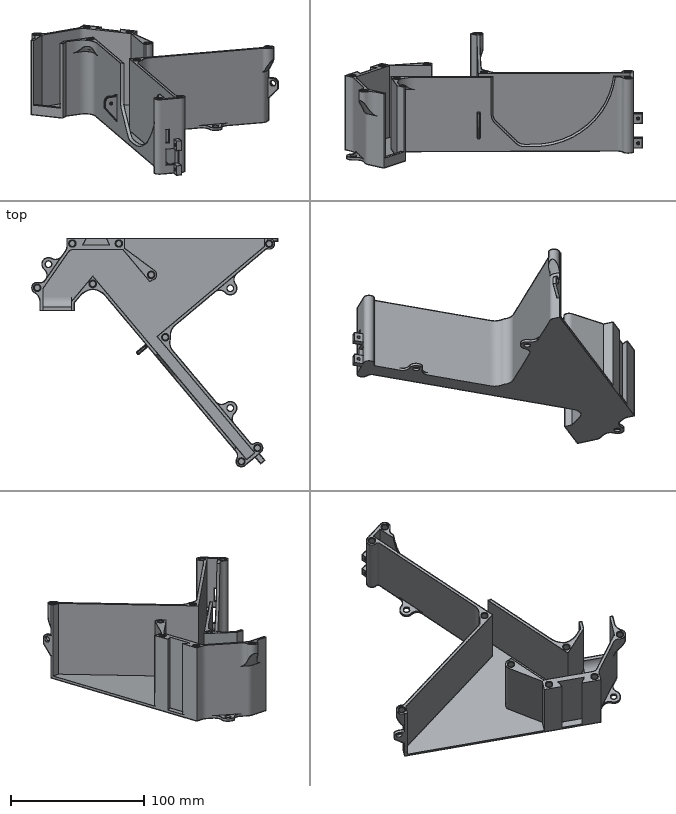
import cadquery as cq
import math

height = 58.0
wall = 2.2
floor = 2.0

slope = math.radians(50)
along = cq.Vector(math.cos(slope), -math.sin(slope))
across = cq.Vector(math.sin(slope), math.cos(slope))
inlet_slope = cq.Vector(-along.x, along.y)
down = cq.Vector(0, -1)

inlet_left = 8.3
inlet_right = 29.7
inlet_front = -52.0
back_left = 28.5
back_right = 174.5
back_wall = 8.5
channel_length = 179.5
channel_width = 8.0
arm_to_end = 113.8

apex = cq.Vector(45.7, -28.4)
channel_end = apex + along * channel_length
channel_far_end = channel_end + across * channel_width
elbow = channel_far_end - along * arm_to_end
arm_end = elbow + across * ((back_right - elbow.x) / across.x)
inlet_bend = cq.Vector(inlet_right, apex.y - (apex.x - inlet_right) * math.tan(slope))
left_corner = cq.Vector(inlet_left, -37.8)
back_corner = cq.Vector(back_left, -back_wall)
left_wall_rise = (back_corner - left_corner).normalized()

room = [
    cq.Vector(back_left, -wall), back_corner, left_corner,
    cq.Vector(inlet_left, inlet_front), cq.Vector(inlet_right, inlet_front), inlet_bend,
    apex, channel_end, channel_far_end, elbow, arm_end, cq.Vector(back_right, -wall),
]

outer_rounds = [(apex, 7.7), (back_corner, 7.0), (left_corner, 5.9), (arm_end, 4.0)]
back_corner_round = 4.0

block_right = 69.7
block_corner = cq.Vector(block_right, -7.5)
vane_root = cq.Vector(68.5, -back_wall)
vane_length = 31.4
vane_to_boss = 28.0
dovetail = [(41.0, 0), (38.2, -4.8), (58.3, -4.8), (56.0, 0)]

boss_radius = 4.0
boss_depth = 18.5
apex_boss_depth = 9.4
overhang_taper = 29
apex_overhang_taper = 24
insert_radius = 2.2
insert_depth = 7.7
insert_chamfer = 0.5
end_boss_setback = 1.5
end_boss_side = 3.9

left_boss = cq.Vector(boss_radius, -37.0)
apex_boss = cq.Vector(45.7, -34.1)
elbow_boss = cq.Vector(100.2, -74.2)
right_boss = cq.Vector(178.0, -boss_radius)
channel_boss = channel_end - along * end_boss_setback - across * end_boss_side
channel_far_boss = channel_far_end - along * end_boss_setback + across * end_boss_side
vane_boss = vane_root + along * vane_to_boss + across * boss_radius
block_bosses = [cq.Vector(30.5, -3.9), cq.Vector(65.3, -3.9)]

sill_height = 7.5
sill_edge = -51.6
ramp_start = -43.9
ramp_middle = (-48.7, 3.5)

notch_start = 76.5
notch_bottom = 5.0
notch_knee = 25.5
notch_flat_end = 107.4
notch_radius = 60.1
notch_corner = 8.0
notch_bevel = 30

ear_radius = 5.0
ear_hole = 2.4
ear_blend = 5.9
ears = [
    (cq.Vector(12.5, -19.4), left_corner, left_wall_rise),
    (cq.Vector(148.9, -37.5), elbow, across),
    (cq.Vector(148.9, -127.3), elbow, along),
]

tab_right = 184.5
tab_top = 33.4
tab_hole = (180.8, 29.7)
tab_hole_radius = 2.2
tab_corner_radius = 3.7
tab_side_bottom = 25.5
tab_foot = 17.3

clip_position = 65.9
clip_thickness = 2.4
clip_reach = 9.5
clip_top = 30.0
clip_foot_top = 31.0
clip_corner_radius = 3.9
clip_side_bottom = 21.2
clip_bottom = 10.0
clip_hole = (6.8, 24.7)
clip_hole_radius = 1.1
clip_chamfer = 0.5

lug_sides = (6.0, 10.1)
lug_reach = 9.2
lug_height = 7.4
lug_bottoms = (0, 19.2)
lug_hole_radius = 1.1
lug_hole_reach = 6.0
hinge_opening = (6.6, 19.2)
slot_width = 2.8
slot_opening = (23.8, 34.3)
end_wall_cut = (-0.2, 3.7)


def xy(point):
    return (point.x, point.y)


def prism(points, bottom, top):
    base = cq.Workplane("XY").workplane(offset=bottom)
    return base.polyline([xy(p) for p in points]).close().extrude(top - bottom)


def post(center, radius, bottom, top):
    base = cq.Workplane("XY").workplane(offset=bottom)
    return base.center(*xy(center)).circle(radius).extrude(top - bottom)


def round_upright(solid, corner, radius):
    """Round the upright edge nearest to a plan position."""
    return solid.edges("|Z").edges(cq.NearestToPointSelector((corner.x, corner.y, height / 2))).fillet(radius)


def flare(center, radius, wall_point, direction, blend, bottom, top):
    """Web from a round post to the outer face of a wall, ending in a hollow arc.

    wall_point lies on the inner face of the wall; direction points along the wall, away from the post.
    """
    inner_foot = wall_point + direction * (center - wall_point).dot(direction)
    normal = (center - inner_foot).normalized()
    foot = inner_foot + normal * wall
    distance = (center - foot).dot(normal)
    reach = math.sqrt((radius + blend) ** 2 - (distance - blend) ** 2)
    wall_touch = foot + direction * reach
    blend_center = wall_touch + normal * blend
    post_touch = center + (blend_center - center).normalized() * radius
    arc_middle = blend_center + ((wall_touch + post_touch) * 0.5 - blend_center).normalized() * blend
    sunk = normal * (wall / 2)
    return (
        cq.Workplane("XY").workplane(offset=bottom)
        .moveTo(*xy(center)).lineTo(*xy(foot - sunk)).lineTo(*xy(wall_touch - sunk)).lineTo(*xy(wall_touch))
        .threePointArc(xy(arc_middle), xy(post_touch)).close().extrude(top - bottom)
    )


def flared_post(center, radius, flares, bottom, top):
    """Round post with a flare for each (wall point, direction, blend radius)."""
    shape = post(center, radius, bottom, top)
    for wall_point, direction, blend in flares:
        shape = shape.union(flare(center, radius, wall_point, direction, blend, bottom, top))
    return shape


def make_shell():
    """Solid block: the room grown by the wall thickness."""
    outline = cq.Workplane("XY").polyline([xy(p) for p in room]).close()
    shell = outline.offset2D(wall, "intersection").extrude(height)
    for corner, radius in outer_rounds:
        shell = round_upright(shell, corner, radius)
    return shell


def hanging_boss(center, flares, depth, taper, footprint):
    """Boss at the top of the walls whose underside slopes back to them."""
    bottom = height - depth
    base = footprint.moved(cq.Location(cq.Vector(0, 0, bottom)))
    leaning_walls = cq.Solid.extrudeLinear(base, [], cq.Vector(0, 0, depth), -taper)
    return flared_post(center, boss_radius, flares, bottom, height).intersect(cq.Workplane(leaning_walls))


def add_bosses(body):
    footprint = body.faces("<Z").wires().val()
    left_flares = [(left_corner, down, 8.0), (left_corner, left_wall_rise, 5.2)]
    apex_flares = [(apex, along, 14.8), (apex, inlet_slope, 14.8)]
    right_flares = [(elbow, -across, 2.2)]
    elbow_flares = [(elbow, along, 9.2), (elbow, across, 9.2)]
    body = body.union(hanging_boss(left_boss, left_flares, boss_depth, overhang_taper, footprint))
    body = body.union(hanging_boss(apex_boss, apex_flares, apex_boss_depth, apex_overhang_taper, footprint))
    body = body.union(hanging_boss(right_boss, right_flares, boss_depth, overhang_taper, footprint))
    body = body.union(flared_post(elbow_boss, boss_radius, elbow_flares, 0, height))
    body = body.union(flared_post(channel_boss, boss_radius, [(apex, -along, 4.8)], 0, height))
    body = body.union(flared_post(channel_far_boss, boss_radius, [(elbow, -along, 2.2)], 0, height))
    end_face = along * boss_radius
    end_cap = [channel_boss, channel_boss + end_face, channel_far_boss + end_face, channel_far_boss]
    return body.union(prism(end_cap, 0, height))


def make_vane():
    """Wedge from the back block to the vane boss, its upper side tangent to the boss."""
    tip = vane_root + along * vane_length
    to_boss = vane_boss - block_corner
    touch_angle = math.atan2(to_boss.y, to_boss.x) + math.asin(boss_radius / to_boss.Length) + math.pi / 2
    touch = vane_boss + cq.Vector(math.cos(touch_angle), math.sin(touch_angle)) * boss_radius
    wedge = prism([vane_root, tip, tip + across * boss_radius, vane_boss, touch, block_corner], 0, height)
    return wedge.union(post(vane_boss, boss_radius, 0, height))


def make_cavity():
    """Inside of the room, open at the back to the right of the block."""
    cavity = prism(room, floor, height)
    back_opening = cq.Workplane("XY").box(back_right - block_right, 2 * wall, height - floor, centered=False)
    cavity = cavity.union(back_opening.translate((block_right, -2 * wall, floor)))
    block = prism([cq.Vector(), cq.Vector(block_right, 0), block_corner, vane_root, cq.Vector(0, -back_wall)],
                  0, height)
    cavity = round_upright(cavity.cut(block), back_corner, back_corner_round)
    return cavity.cut(make_vane())


def open_inlet(body):
    """Clear the front wall above the sill and slope the floor up to it."""
    width = inlet_right - inlet_left
    mouth = cq.Workplane("XY").box(width, 2 * wall, height, centered=False)
    body = body.cut(mouth.translate((inlet_left, inlet_front - 1.5 * wall, sill_height)))
    sill_middle = inlet_front - wall / 2
    ramp = (
        cq.Workplane("YZ").workplane(offset=inlet_left)
        .moveTo(ramp_start, floor).threePointArc(ramp_middle, (sill_edge, sill_height))
        .lineTo(sill_middle, sill_height).lineTo(sill_middle, floor / 2).lineTo(ramp_start, floor / 2)
        .close().extrude(width)
    )
    return body.union(ramp)


def make_notch():
    """Cutter with a straight side, a 45 degree side and a long arc rising to the rim."""
    rim = height + 1.8
    drop = notch_knee - notch_bottom
    corner = notch_start + drop
    sweep = math.acos(1 - (rim - notch_bottom) / notch_radius)

    def arc_point(angle):
        return (notch_flat_end + notch_radius * math.sin(angle),
                notch_bottom + notch_radius * (1 - math.cos(angle)))

    profile = (
        cq.Sketch()
        .segment((notch_start, rim), (notch_start, notch_knee))
        .segment((corner, notch_bottom))
        .segment((notch_flat_end, notch_bottom))
        .arc(arc_point(sweep / 2), arc_point(sweep))
        .segment((notch_start, rim))
        .assemble()
    )
    low_corner = (notch_start - wall, notch_bottom - wall, -1.8)
    high_corner = (corner + wall, notch_knee + wall, 1.8)
    rounded = cq.selectors.BoxSelector(low_corner, high_corner)
    profile = profile.reset().vertices(rounded).fillet(notch_corner)
    plane = cq.Plane(origin=apex.toTuple(), xDir=along.toTuple(), normal=(-across).toTuple())
    return cq.Workplane(plane).placeSketch(profile.reset()).extrude(1.5 * wall, taper=-notch_bevel)


def add_ears(body):
    for center, corner, direction in ears:
        flares = [(corner, direction, ear_blend), (corner, -direction, ear_blend)]
        ear = flared_post(center, ear_radius, flares, 0, floor)
        body = body.union(ear.cut(post(center, ear_hole, 0, floor)))
    return body


def make_tab():
    """Drilled plate flush with the back face, its underside sloping back to the wall."""
    root = back_right
    face = back_right + wall
    diagonal = tab_corner_radius * math.sqrt(0.5)
    corner_x = tab_right - tab_corner_radius
    corner_z = tab_top - tab_corner_radius
    plate = (
        cq.Workplane("XZ").moveTo(root, tab_top).lineTo(corner_x, tab_top)
        .threePointArc((corner_x + diagonal, corner_z + diagonal), (tab_right, corner_z))
        .lineTo(tab_right, tab_side_bottom).lineTo(face, tab_foot).lineTo(root, tab_foot)
        .close().extrude(wall)
    )
    return plate.cut(cq.Workplane("XZ").center(*tab_hole).circle(tab_hole_radius).extrude(wall))


def make_clip():
    """Plate with a rounded upper corner and a sloping underside, drilled through."""
    root = wall / 2
    outer = wall + clip_reach
    foot = clip_foot_top - clip_top
    diagonal = clip_corner_radius * math.sqrt(0.5)
    corner_x = outer - clip_corner_radius
    corner_z = clip_top - clip_corner_radius
    origin = apex + along * clip_position
    plane = cq.Plane(origin=origin.toTuple(), xDir=(-across).toTuple(), normal=(-along).toTuple())
    plate = (
        cq.Workplane(plane).moveTo(root, clip_foot_top).lineTo(wall + foot, clip_foot_top)
        .lineTo(wall + 2 * foot, clip_top).lineTo(corner_x, clip_top)
        .threePointArc((corner_x + diagonal, corner_z + diagonal), (outer, corner_z))
        .lineTo(outer, clip_side_bottom).lineTo(wall, clip_bottom).lineTo(root, clip_bottom).close()
        .extrude(clip_thickness / 2, both=True)
    )
    plate = plate.faces(cq.ParallelDirSelector(along)).edges().chamfer(clip_chamfer)
    hole = cq.Workplane(plane).center(*clip_hole).circle(clip_hole_radius).extrude(clip_thickness, both=True)
    return plate.cut(hole)


def end_box(reach, sides, levels):
    """Box on the channel end: reach along the channel, sides across it, levels in Z."""
    near, far = (channel_end + along * distance for distance in reach)
    left, right = (across * distance for distance in sides)
    return prism([near + left, far + left, far + right, near + right], *levels)


def add_hinge(body):
    body = body.cut(end_box(end_wall_cut, (0, lug_sides[1]), hinge_opening))
    body = body.cut(end_box(end_wall_cut, (0, slot_width), slot_opening))
    for bottom in lug_bottoms:
        lug = end_box((wall / 2, lug_reach), lug_sides, (bottom, bottom + lug_height))
        start = channel_end + along * lug_hole_reach + cq.Vector(0, 0, bottom + lug_height / 2)
        hole = cq.Solid.makeCylinder(lug_hole_radius, 2 * lug_sides[1], start, across)
        body = body.union(lug.cut(cq.Workplane(hole)))
    return body


def insert_hole(center):
    """Blind screw hole with a countersunk mouth."""
    mouth = cq.Solid.makeCone(insert_radius, insert_radius + insert_chamfer, insert_chamfer,
                              cq.Vector(center.x, center.y, height - insert_chamfer))
    return post(center, insert_radius, height - insert_depth, height).union(cq.Workplane(mouth))


body = add_bosses(make_shell())
body = body.cut(make_cavity())
body = open_inlet(body)
body = body.cut(make_notch())
body = add_ears(body)
body = body.union(make_tab()).union(make_clip())
body = add_hinge(body)
body = body.cut(prism([cq.Vector(*p) for p in dovetail], floor, height))

all_bosses = [left_boss, apex_boss, elbow_boss, right_boss, channel_boss, channel_far_boss, vane_boss]
for boss_center in all_bosses + block_bosses:
    body = body.cut(insert_hole(boss_center))

result = body